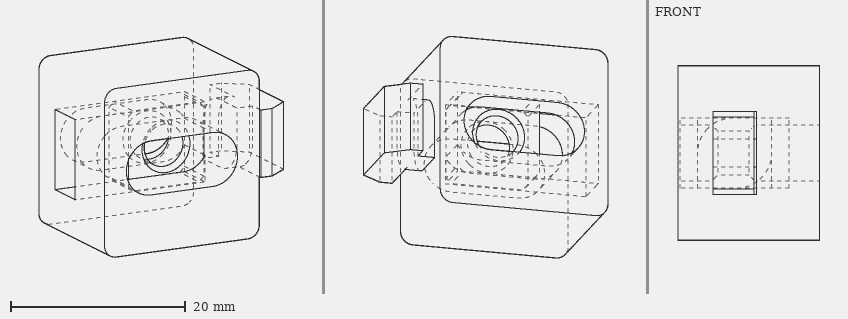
import cadquery as cq

block_width = 16.2
block_side = 20.0
block_edge_radius = 1.5

total_depth = 26.0
head_offset_x = -1.6
head_width = 12.45
head_tip_width = 8.48
head_height = 8.0
head_thickness = 4.0
head_flank_thickness = 1.45
neck_length = total_depth - block_side - head_thickness
neck_corner_radius = head_height / 2

pocket_width = 5.0
pocket_height = 9.5
pocket_depth = 16.75
pocket_left = head_offset_x - pocket_width / 2

slot_length = 14.35
slot_height = 6.4
slot_front_margin = 2.8
slot_center_y = slot_front_margin + slot_length / 2

nut_thickness = 4.7
nut_length = 9.75
nut_edge_chamfer = 0.62
nut_bore_diameter = 5.0
nut_countersink_diameter = 6.2
nut_center_y = pocket_depth - nut_length / 2


def make_block():
    block = cq.Workplane("XY").box(block_width, block_side, block_side, centered=(True, False, True))
    return block.edges("|X").fillet(block_edge_radius)


def make_neck():
    """Rectangular neck with two diagonally opposite corners rounded, so that the head can turn in its groove."""
    neck = (
        cq.Workplane("XY")
        .box(head_tip_width, neck_length, head_height, centered=(True, False, True))
        .translate((head_offset_x, block_side, 0))
    )
    neck = neck.edges("|Y").edges("<X").edges(">Z").fillet(neck_corner_radius)
    return neck.edges("|Y").edges(">X").edges("<Z").fillet(neck_corner_radius)


def make_head():
    """Flat head that tapers towards its tip."""
    base_y = block_side + neck_length
    shoulder_y = base_y + head_flank_thickness
    half_base = head_width / 2
    half_tip = head_tip_width / 2
    outline = [
        (-half_base, base_y),
        (half_base, base_y),
        (half_base, shoulder_y),
        (half_tip, total_depth),
        (-half_tip, total_depth),
        (-half_base, shoulder_y),
    ]
    head = cq.Workplane("XY").polyline(outline).close().extrude(head_height / 2, both=True)
    return head.translate((head_offset_x, 0, 0))


def make_pocket():
    pocket = cq.Workplane("XY").box(pocket_width, pocket_depth, pocket_height, centered=(False, False, True))
    return pocket.translate((pocket_left, 0, 0))


def make_slot():
    return (
        cq.Workplane("YZ")
        .center(slot_center_y, 0)
        .slot2D(slot_length, slot_height)
        .extrude(block_width / 2, both=True)
    )


def make_housing():
    solid_housing = make_block().union(make_neck()).union(make_head())
    return solid_housing.cut(make_pocket()).cut(make_slot())


def make_nut():
    """Rectangular nut with chamfered corners and a bore countersunk on both faces."""
    nut = (
        cq.Workplane("YZ")
        .box(nut_length, pocket_height, nut_thickness)
        .edges("|X")
        .chamfer(nut_edge_chamfer)
    )
    nut = nut.faces(">X").workplane().hole(nut_bore_diameter)
    countersink_size = (nut_countersink_diameter - nut_bore_diameter) / 2
    nut = nut.edges("%CIRCLE").chamfer(countersink_size)
    return nut.translate((pocket_left + nut_thickness / 2, nut_center_y, 0))


housing = make_housing()
nut = make_nut()
result = cq.Compound.makeCompound([housing.val(), nut.val()])